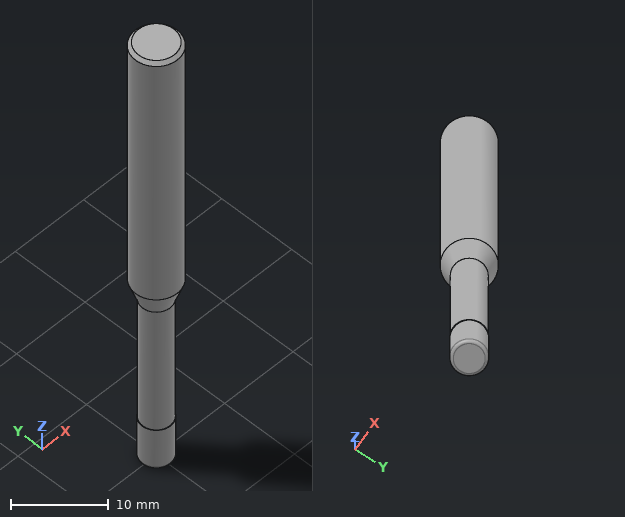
import cadquery as cq

total_length = 62.9
shank_radius = 6.0 / 2
neck_radius = 3.9 / 2
tip_radius = 4.0 / 2

tip_length = 6.0
neck_end = 23.9
taper_end = 26.9

shank_chamfer = 0.45
tip_corner = 0.4


def make_shank():
    """Holder: neck, taper and chamfered shank, revolved about Z."""
    return (
        cq.Workplane("XZ")
        .moveTo(0, tip_length)
        .lineTo(neck_radius, tip_length)
        .lineTo(neck_radius, neck_end)
        .lineTo(shank_radius, taper_end)
        .lineTo(shank_radius, total_length - shank_chamfer)
        .lineTo(shank_radius - shank_chamfer, total_length)
        .lineTo(0, total_length)
        .close()
        .revolve(360, (0, 0, 0), (0, 1, 0))
    )


def make_cutting_tip():
    """Cutting tip: slightly wider than the neck, with a rounded bottom edge."""
    return cq.Workplane("XY").circle(tip_radius).extrude(tip_length).faces("<Z").edges().fillet(tip_corner)


shank = make_shank()
cutting_tip = make_cutting_tip()

result = cq.Compound.makeCompound([shank.val(), cutting_tip.val()])